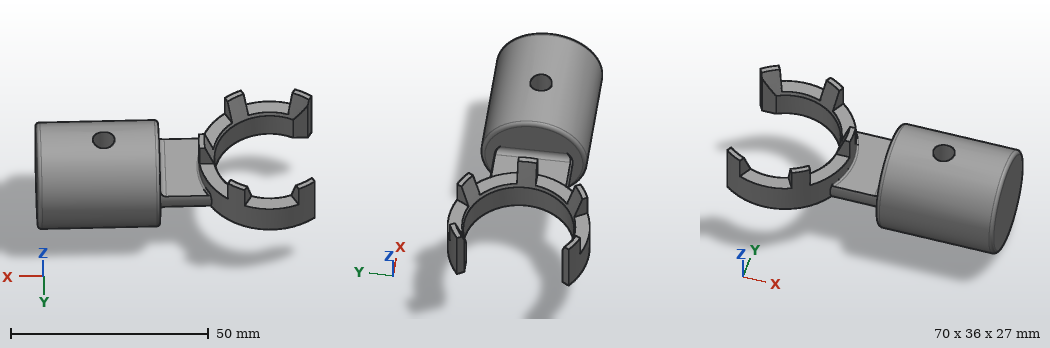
import cadquery as cq
import math

RING_OUTER_RADIUS = 18.0
RING_BORE_RADIUS = 14.0
RING_BOTTOM = -2.0
RING_TOP = 6.0
FLARE_START = 5.0
MOUTH_WIDTH = 25.0

TOOTH_TOP = 12.0
TOOTH_WIDTH = 4.8
TOOTH_TOP_INNER_RADIUS = 16.6
TOOTH_PITCH = 60.0
TOOTH_STEPS = (-2, -1, 0, 1, 2)

BARREL_DIAMETER = 27.0
BARREL_START = 28.0
BARREL_LENGTH = 31.0
BARREL_EDGE_RADIUS = 1.0

HOLE_OFFSET = 14.0
HOLE_TOP_DIAMETER = 5.5
HOLE_BOTTOM_DIAMETER = 4.5

NECK_WIDTH = 20.0
NECK_THICKNESS = 4.0
NECK_SIDE_RADIUS = 5.0
NECK_BARREL_FILLET = 1.5
NECK_RING_FILLET = 0.5

CLEARING_SPAN = 2 * RING_OUTER_RADIUS
QUARTER_POINT = math.sqrt(0.5)


def make_toothed_ring():
    """Ring with a conical upper bore, cut down between the teeth and opened on the -X side."""
    tall_ring = (
        cq.Workplane("XZ")
        .polyline([
            (RING_BORE_RADIUS, RING_BOTTOM),
            (RING_OUTER_RADIUS, RING_BOTTOM),
            (RING_OUTER_RADIUS, TOOTH_TOP),
            (TOOTH_TOP_INNER_RADIUS, TOOTH_TOP),
            (RING_BORE_RADIUS, FLARE_START),
        ])
        .close()
        .revolve(360, (0, 0, 0), (0, 1, 0))
    )
    keep = (
        cq.Workplane("XY")
        .workplane(offset=RING_BOTTOM)
        .circle(CLEARING_SPAN)
        .extrude(RING_TOP - RING_BOTTOM)
    )
    for step in TOOTH_STEPS:
        tooth_bar = (
            cq.Workplane("XY")
            .workplane(offset=RING_BOTTOM)
            .rect(CLEARING_SPAN, TOOTH_WIDTH)
            .extrude(TOOTH_TOP - RING_BOTTOM)
            .translate((CLEARING_SPAN / 2, 0, 0))
            .rotate((0, 0, 0), (0, 0, 1), step * TOOTH_PITCH)
        )
        keep = keep.union(tooth_bar)
    return tall_ring.intersect(keep).cut(make_mouth_cutter())


def make_mouth_cutter():
    """Wedge flush with the outer sides of the end teeth, plus a slot with parallel walls."""
    height = TOOTH_TOP - RING_BOTTOM
    end_angle = math.radians(max(TOOTH_STEPS) * TOOTH_PITCH)
    apex_x = -TOOTH_WIDTH / 2 / math.sin(end_angle)
    far_x = apex_x + CLEARING_SPAN * math.cos(end_angle)
    far_y = CLEARING_SPAN * math.sin(end_angle)
    wedge = (
        cq.Workplane("XY")
        .workplane(offset=RING_BOTTOM)
        .polyline([
            (apex_x, 0),
            (far_x, far_y),
            (-CLEARING_SPAN, far_y),
            (-CLEARING_SPAN, -far_y),
            (far_x, -far_y),
        ])
        .close()
        .extrude(height)
    )
    slot = (
        cq.Workplane("XY")
        .workplane(offset=RING_BOTTOM)
        .rect(CLEARING_SPAN, MOUTH_WIDTH)
        .extrude(height)
        .translate((-CLEARING_SPAN / 2, 0, 0))
    )
    return wedge.union(slot)


def make_barrel():
    """Solid cylinder with both rims rounded."""
    return (
        cq.Workplane("YZ")
        .workplane(offset=BARREL_START)
        .circle(BARREL_DIAMETER / 2)
        .extrude(BARREL_LENGTH)
        .edges("%CIRCLE")
        .fillet(BARREL_EDGE_RADIUS)
    )


def make_cross_hole():
    """Cutter spanning the barrel: wide above the axis, narrow below, with a conical step between."""
    top_radius = HOLE_TOP_DIAMETER / 2
    bottom_radius = HOLE_BOTTOM_DIAMETER / 2
    step_bottom = bottom_radius - top_radius
    barrel_radius = BARREL_DIAMETER / 2
    return (
        cq.Workplane("XZ")
        .polyline([
            (0, -barrel_radius),
            (bottom_radius, -barrel_radius),
            (bottom_radius, step_bottom),
            (top_radius, 0),
            (top_radius, barrel_radius),
            (0, barrel_radius),
        ])
        .close()
        .revolve(360, (0, 0, 0), (0, 1, 0))
        .translate((BARREL_START + HOLE_OFFSET, 0, 0))
    )


def make_neck_envelope():
    """Bar along X whose long sides are convex arcs; it limits the neck and its fillets in Y."""
    half_width = NECK_WIDTH / 2
    half_height = NECK_THICKNESS / 2 + NECK_BARREL_FILLET
    edge_y = half_width - NECK_SIDE_RADIUS + math.sqrt(NECK_SIDE_RADIUS**2 - half_height**2)
    return (
        cq.Workplane("YZ")
        .moveTo(-edge_y, -half_height)
        .lineTo(edge_y, -half_height)
        .threePointArc((half_width, 0), (edge_y, half_height))
        .lineTo(-edge_y, half_height)
        .threePointArc((-half_width, 0), (-edge_y, -half_height))
        .close()
        .extrude(BARREL_START)
    )


def make_neck():
    """Plate flaring into the barrel face, with a small fillet where it meets the ring."""
    half = NECK_THICKNESS / 2
    radius = NECK_BARREL_FILLET
    flare_start = BARREL_START - radius
    arc_x = flare_start + radius * QUARTER_POINT
    arc_z = half + radius * (1 - QUARTER_POINT)
    plate = (
        cq.Workplane("XZ")
        .moveTo(0, -half)
        .lineTo(flare_start, -half)
        .threePointArc((arc_x, -arc_z), (BARREL_START, -half - radius))
        .lineTo(BARREL_START, half + radius)
        .threePointArc((arc_x, arc_z), (flare_start, half))
        .lineTo(0, half)
        .close()
        .extrude(NECK_WIDTH / 2, both=True)
    )
    bore = (
        cq.Workplane("XY")
        .workplane(offset=RING_BOTTOM)
        .circle(RING_BORE_RADIUS)
        .extrude(TOOTH_TOP - RING_BOTTOM)
    )
    return plate.union(make_ring_fillet()).intersect(make_neck_envelope()).cut(bore)


def make_ring_fillet():
    """Concave fillet around the ring's outer wall, resting on the plate's upper face."""
    plate_top = NECK_THICKNESS / 2
    radius = NECK_RING_FILLET
    toe_radius = RING_OUTER_RADIUS + radius
    arc_offset = radius * (1 - QUARTER_POINT)
    wall_overlap = RING_OUTER_RADIUS - radius
    return (
        cq.Workplane("XZ")
        .moveTo(wall_overlap, plate_top)
        .lineTo(toe_radius, plate_top)
        .threePointArc(
            (RING_OUTER_RADIUS + arc_offset, plate_top + arc_offset),
            (RING_OUTER_RADIUS, plate_top + radius),
        )
        .lineTo(wall_overlap, plate_top + radius)
        .close()
        .revolve(360, (0, 0, 0), (0, 1, 0))
    )


result = (
    make_barrel()
    .cut(make_cross_hole())
    .union(make_neck())
    .union(make_toothed_ring())
)